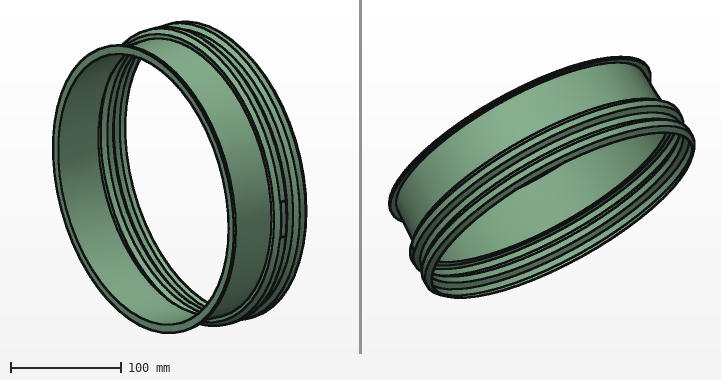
import cadquery as cq
import math

length = 83.0
outer_width = 276.5

rib_diameter = 276.0
groove_diameter = 267.5
wall = 2.0
mouth_diameter = 266.5
rib_crest = 6.5
rib_slope = (rib_diameter - groove_diameter) / 2
rib_width = rib_crest + 2 * rib_slope
rib_count = 2

sleeve_rib_diameter = 259.4
sleeve_flange_diameter = 255.0
flange_diameter = 266.5
flange_thickness = 2.5

pad_length = 34.5
pad_radius = outer_width - rib_diameter / 2
pad_width = 6.0

ribs_end = length - rib_count * rib_width - (rib_count - 1) * rib_crest


def rib_outline(offset):
    """Points along both ribs from the open end to the sleeve, moved inward by offset."""
    crest = rib_diameter / 2 - offset
    root = groove_diameter / 2 - offset
    points = []
    for index in range(rib_count):
        start = length - index * (rib_width + rib_crest)
        points += [
            (root, start),
            (crest, start - rib_slope),
            (crest, start - rib_slope - rib_crest),
            (root, start - rib_width),
        ]
    return points


def make_shell():
    """Ribs, sleeve and flange as one revolved wall section."""
    sleeve_rib = sleeve_rib_diameter / 2
    sleeve_flange = sleeve_flange_diameter / 2
    flange = flange_diameter / 2
    outside = rib_outline(0) + [
        (sleeve_rib, ribs_end),
        (sleeve_flange, flange_thickness),
        (flange, flange_thickness),
        (flange, 0),
    ]
    inside = rib_outline(wall)
    inside[0] = (mouth_diameter / 2, length)
    inside[-1] = (inside[-1][0] + wall, ribs_end + wall)
    inside += [
        (sleeve_rib - wall, ribs_end + wall),
        (sleeve_flange - wall, 0),
    ]
    section = cq.Workplane("XY").polyline(outside + inside[::-1]).close()
    return section.revolve(360, (0, 0, 0), (0, 1, 0))


def make_pad():
    """Curved pad that follows the rib crest and sinks halfway into its wall."""
    inner_radius = (rib_diameter - wall) / 2
    half_angle = math.degrees(math.asin(pad_length / 2 / pad_radius))
    section = (
        cq.Workplane("XY")
        .moveTo((inner_radius + pad_radius) / 2, ribs_end + rib_width / 2)
        .rect(pad_radius - inner_radius, pad_width)
    )
    pad = section.revolve(2 * half_angle, (0, 0, 0), (0, 1, 0))
    return pad.rotate((0, 0, 0), (0, 1, 0), -half_angle)


result = make_shell().union(make_pad())